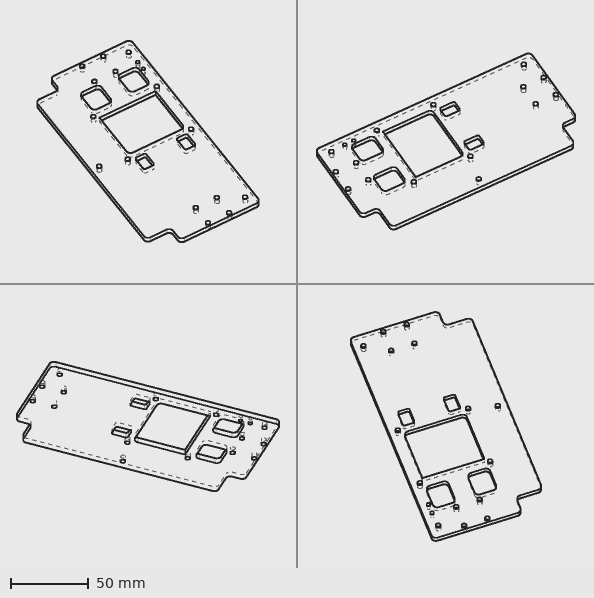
import cadquery as cq

LENGTH = 159.4
WIDTH = 79.0
THICKNESS = 4.0
CORNER_RADIUS = 3.0

NOTCH_LENGTH = 11.8
NOTCH_WIDTH = 18.3

WINDOW_LEFT = -34.5
WINDOW_LENGTH = 36.0
WINDOW_WIDTH = 42.4
WINDOW_CENTER_Y = 9.4

LEFT_OPENING_SIZE = (17.0, 15.0)
LEFT_OPENING_RADIUS = 3.0
LEFT_OPENING_X = -49.9
LEFT_OPENING_PITCH = 28.4

SLOT_SIZE = (11.2, 8.0)
SLOT_RADIUS = 1.3
SLOT_X = 12.0
SLOT_PITCH = 31.2

SCREW_DIAMETER = 3.2
CORNER_HOLE_X = 71.2
CORNER_HOLE_Y = 33.0
SIDE_HOLE_INNER_X = 62.0
SIDE_HOLE_OUTER_X = 77.0
SIDE_HOLE_CENTER_Y = 9.4
SIDE_HOLE_PITCH = 16.0
WINDOW_HOLE_CENTER_X = -16.4
WINDOW_HOLE_PITCH_X = 41.9
WINDOW_HOLE_PITCH_Y = 48.0
FRONT_HOLE_Y = -33.3

PIN_DIAMETER = 2.4
PIN_CENTER_X = -57.7
PIN_PITCH = 6.7
PIN_Y = 33.6


def block(length, width, x, y):
    """Rectangular block through the plate thickness, centred at (x, y)."""
    return cq.Workplane("XY").center(x, y).rect(length, width).extrude(THICKNESS)


def make_plate():
    plate = block(LENGTH, WIDTH, 0, 0)
    for side in (-1, 1):
        notch_x = side * (LENGTH - NOTCH_LENGTH) / 2
        notch_y = (NOTCH_WIDTH - WIDTH) / 2
        plate = plate.cut(block(NOTCH_LENGTH, NOTCH_WIDTH, notch_x, notch_y))
    return plate.edges("|Z").fillet(CORNER_RADIUS)


def make_window():
    window_x = WINDOW_LEFT + WINDOW_LENGTH / 2
    window = block(WINDOW_LENGTH, WINDOW_WIDTH, window_x, WINDOW_CENTER_Y)
    return window.faces(">X").edges("|Z").fillet(CORNER_RADIUS)


def opening_pair(size, radius, x, pitch):
    """Two rounded openings, one above the other about the window's centre."""
    openings = cq.Workplane("XY")
    for side in (-1, 1):
        opening = block(*size, x, WINDOW_CENTER_Y + side * pitch / 2)
        openings = openings.add(opening.edges("|Z").fillet(radius))
    return openings.combine()


def holes(points, diameter):
    return cq.Workplane("XY").pushPoints(points).circle(diameter / 2).extrude(THICKNESS)


screw_points = [(0, FRONT_HOLE_Y)]
for side in (-1, 1):
    screw_points.append((side * CORNER_HOLE_X, CORNER_HOLE_Y))
    for end in (-1, 1):
        side_y = SIDE_HOLE_CENTER_Y + end * SIDE_HOLE_PITCH / 2
        screw_points.append((side * SIDE_HOLE_INNER_X, side_y))
        screw_points.append((side * SIDE_HOLE_OUTER_X, side_y))
        window_hole_x = WINDOW_HOLE_CENTER_X + side * WINDOW_HOLE_PITCH_X / 2
        window_hole_y = WINDOW_CENTER_Y + end * WINDOW_HOLE_PITCH_Y / 2
        screw_points.append((window_hole_x, window_hole_y))

pin_points = [(PIN_CENTER_X + side * PIN_PITCH / 2, PIN_Y) for side in (-1, 1)]

result = (
    make_plate()
    .cut(make_window())
    .cut(opening_pair(LEFT_OPENING_SIZE, LEFT_OPENING_RADIUS, LEFT_OPENING_X, LEFT_OPENING_PITCH))
    .cut(opening_pair(SLOT_SIZE, SLOT_RADIUS, SLOT_X, SLOT_PITCH))
    .cut(holes(screw_points, SCREW_DIAMETER))
    .cut(holes(pin_points, PIN_DIAMETER))
)